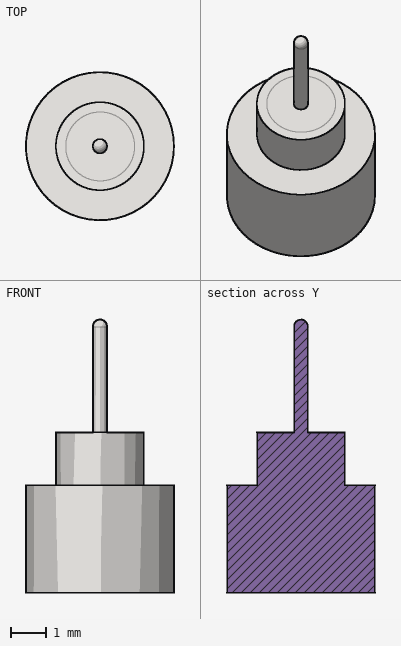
import cadquery as cq

total_height = 7.75
body_diameter = 4.2
body_height = 3.05
collar_diameter = 2.495
collar_height = 1.495
insulator_diameter = 1.95
pin_diameter = 0.4

collar_top = body_height + collar_height
pin_radius = pin_diameter / 2
pin_shank_length = total_height - collar_top - pin_radius


def cylinder(diameter, height, base_z):
    """Upright cylinder centred on the Z axis."""
    return cq.Workplane("XY").workplane(offset=base_z).circle(diameter / 2).extrude(height)


insulator = cylinder(insulator_diameter, collar_height, body_height)
body = cylinder(body_diameter, body_height, 0)
collar = cylinder(collar_diameter, collar_height, body_height)
shell = body.union(collar).cut(insulator)

pin = cylinder(pin_diameter, pin_shank_length, collar_top)
tip = cq.Workplane("XY").sphere(pin_radius).translate((0, 0, total_height - pin_radius))
pin = pin.union(tip)

result = shell.union(insulator, clean=False).union(pin, clean=False)